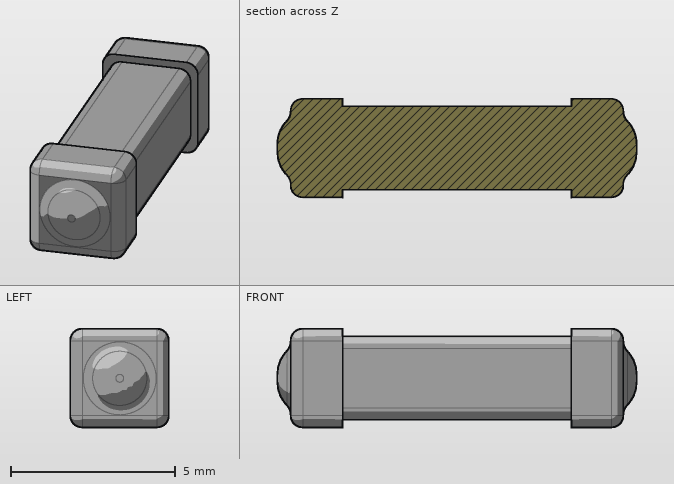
import cadquery as cq
import math

overall_length = 10.9
cap_width = 3.0
cap_length = 1.58
body_width = 2.54
edge_radius = 0.37

dome_height = 0.4
tip_flat_radius = 0.12
crown_radius = 1.0
blend_radius = 0.4

half_length = overall_length / 2
cap_face_x = half_length - dome_height
cap_inner_x = cap_face_x - cap_length


def make_body():
    """Square bar with rounded long edges, joining the inner faces of the caps."""
    bar = cq.Workplane("XY").box(2 * cap_inner_x, body_width, body_width)
    return bar.edges("|X").fillet(edge_radius)


def make_cap():
    """Square +X end cap with its long edges and outer face edges rounded."""
    block = cq.Workplane("XY").box(cap_length, cap_width, cap_width)
    rounded = block.edges("|X or >X").fillet(edge_radius)
    return rounded.translate((cap_inner_x + cap_length / 2, 0, 0))


def make_dome():
    """Dome at the +X end, revolved from two tangent arcs of equal sweep."""
    sweep = math.acos(1 - dome_height / (crown_radius + blend_radius))

    def crown_point(angle):
        x = half_length - crown_radius * (1 - math.cos(angle))
        return x, tip_flat_radius + crown_radius * math.sin(angle)

    base_radius = tip_flat_radius + (crown_radius + blend_radius) * math.sin(sweep)

    def blend_point(angle):
        x = cap_face_x + blend_radius * (1 - math.cos(angle))
        return x, base_radius - blend_radius * math.sin(angle)

    root_x = cap_inner_x + cap_length / 2
    profile = (
        cq.Workplane("XY")
        .moveTo(root_x, 0)
        .lineTo(half_length, 0)
        .lineTo(half_length, tip_flat_radius)
        .threePointArc(crown_point(sweep / 2), crown_point(sweep))
        .threePointArc(blend_point(sweep / 2), (cap_face_x, base_radius))
        .lineTo(root_x, base_radius)
        .close()
    )
    return profile.revolve(360, (0, 0, 0), (1, 0, 0))


end_piece = make_cap().union(make_dome())
result = make_body().union(end_piece).union(end_piece.mirror("YZ"))